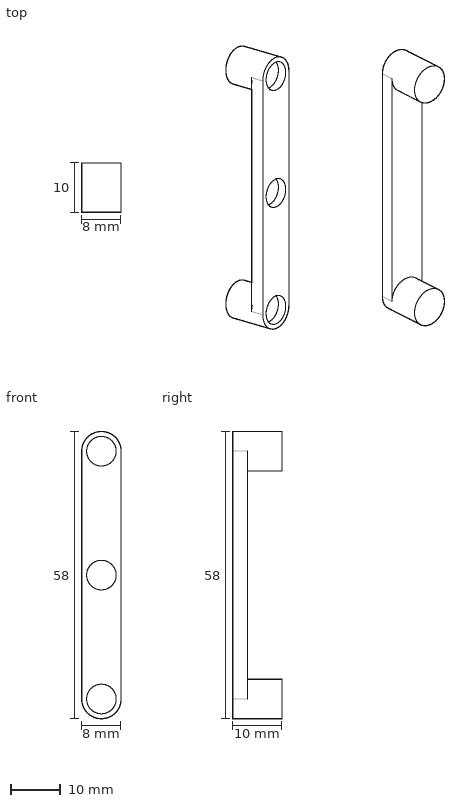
import cadquery as cq

length = 58.0
width = 8.0
depth = 10.0

bar_thickness = 3.0
pocket_diameter = 6.0
pocket_depth = 2.0

post_spacing = length - width
post_centers = [(0, -post_spacing / 2), (0, post_spacing / 2)]
pocket_centers = post_centers + [(0, 0)]


def front_plane():
    """Sketch plane on the front face (Y = 0), with its normal toward -Y."""
    return cq.Workplane("XZ")


def make_bar():
    """Rectangular bar between the post axes; the posts round its ends."""
    return front_plane().rect(width, post_spacing).extrude(-bar_thickness)


def make_posts():
    return front_plane().pushPoints(post_centers).circle(width / 2).extrude(-depth)


def make_pockets():
    return front_plane().pushPoints(pocket_centers).circle(pocket_diameter / 2).extrude(-pocket_depth)


result = make_bar().union(make_posts()).clean().cut(make_pockets())